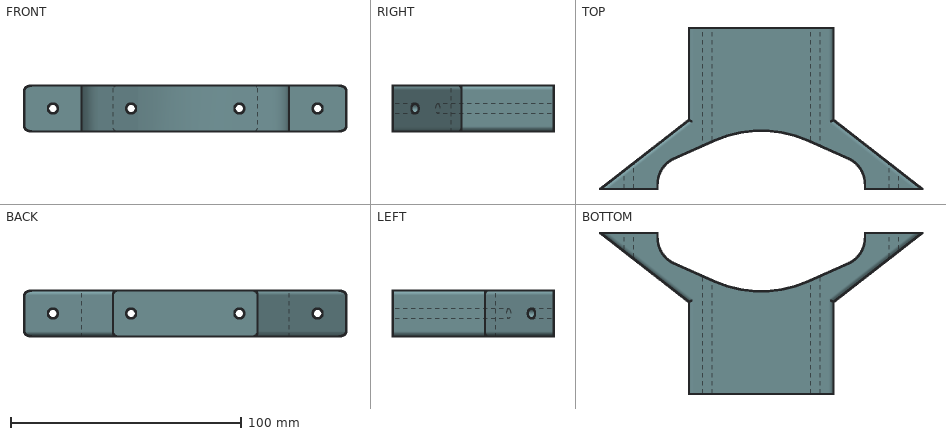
import cadquery as cq
import math

span = 140.0
depth = 70.0
height = 20.0

block_width = 63.0
shoulder_y = 30.0
edge_radius = 2.1

opening_width = 90.0
arch_top_y = 25.3
arch_radius = 50.0
flank_angle = math.radians(24.0)
corner_radius = 12.0

hole_diameter = 4.2
foot_hole_spacing = 115.1
inner_hole_spacing = 47.0


def make_body():
    """Block on two splayed legs, with the outer long edges rounded."""
    half_span = span / 2
    half_block = block_width / 2
    outline = [
        (-half_span, 0),
        (half_span, 0),
        (half_block, shoulder_y),
        (half_block, depth),
        (-half_block, depth),
        (-half_block, shoulder_y),
    ]
    body = cq.Workplane("XY").polyline(outline).close().extrude(height / 2, both=True)
    long_edges = body.faces("|Z").edges("not |X")
    return long_edges.fillet(edge_radius)


def make_opening():
    """Arch, tangent straight flanks and rounded corners above the feet."""
    half_opening = opening_width / 2
    sin_a = math.sin(flank_angle)
    cos_a = math.cos(flank_angle)

    arch_x = arch_radius * sin_a
    arch_y = arch_top_y - arch_radius * (1 - cos_a)

    flank_x = half_opening - corner_radius * (1 - sin_a)
    flank_y = arch_y - (flank_x - arch_x) * math.tan(flank_angle)
    center_x = half_opening - corner_radius
    center_y = flank_y - corner_radius * cos_a
    middle_angle = (math.pi / 2 - flank_angle) / 2
    middle_x = center_x + corner_radius * math.cos(middle_angle)
    middle_y = center_y + corner_radius * math.sin(middle_angle)

    profile = (
        cq.Workplane("XY")
        .moveTo(-half_opening, 0)
        .lineTo(-half_opening, center_y)
        .threePointArc((-middle_x, middle_y), (-flank_x, flank_y))
        .lineTo(-arch_x, arch_y)
        .threePointArc((0, arch_top_y), (arch_x, arch_y))
        .lineTo(flank_x, flank_y)
        .threePointArc((middle_x, middle_y), (half_opening, center_y))
        .lineTo(half_opening, 0)
        .close()
    )
    return profile.extrude(height / 2, both=True)


def make_holes():
    """Through holes at mid height, in the feet and in the arch flanks."""
    centers = []
    for spacing in (foot_hole_spacing, inner_hole_spacing):
        for side in (-1, 1):
            centers.append((side * spacing / 2, 0))
    return cq.Workplane("XZ").pushPoints(centers).circle(hole_diameter / 2).extrude(-depth)


result = make_body().cut(make_opening()).cut(make_holes())